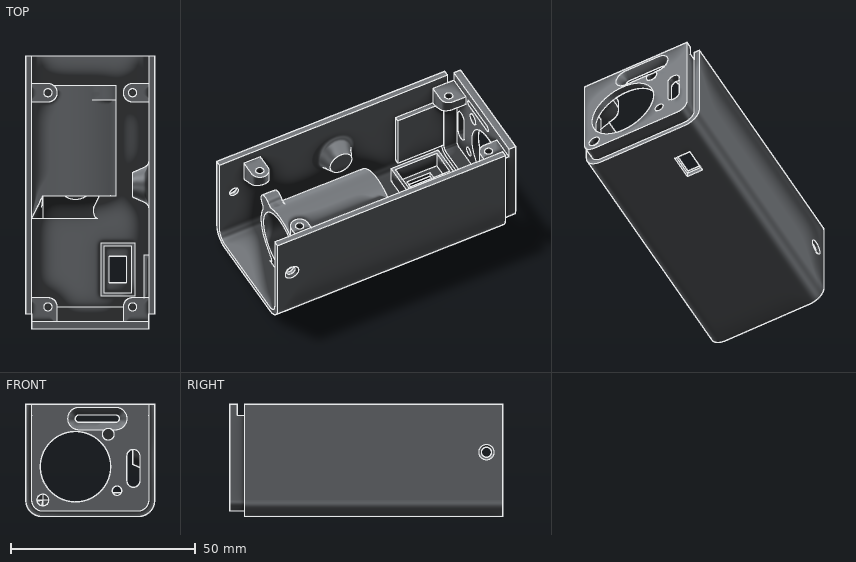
import cadquery as cq
import math

WIDTH = 35.0
LENGTH = 74.0
HEIGHT = 30.5
WALL = 1.6
FLOOR = 1.5
INNER_RADIUS = 3.0
OUTER_RADIUS = FLOOR + INNER_RADIUS
SHELL_FRONT = 4.0

INNER_X = WIDTH / 2 - WALL
FLOOR_Z = FLOOR - HEIGHT
CORNER_X = INNER_X - INNER_RADIUS
CORNER_Z = FLOOR_Z + INNER_RADIUS

PLATE = 2.1
RIM_BACK = 6.0
RIM = 1.8
RIM_TOP = -3.0

LENS_X = -4.0
LENS_Z = -16.95
LENS_D = 19.0

TUBE_R = 10.95
TUBE_FRONT = 36.05
TUBE_BACK = 66.0
RAMP_RUN = 2.0
RAMP_LENGTH = RAMP_RUN * INNER_RADIUS
RAMP_FRONT = TUBE_FRONT - RAMP_LENGTH
SUPPORT_FILLET = 1.0
KEY_X = 4.45
KEY_Z = -8.5
KEY_R = 2.5
KEY_LENGTH = 4.0
KEY_FILLET = 2.0

WINDOW_X = 1.9
WINDOW_Z = -3.9
WINDOW_SPAN = 10.0
WINDOW_R = 0.95
WINDOW_TAPER = 45
WINDOW_FLARE_R = WINDOW_R + PLATE * math.tan(math.radians(WINDOW_TAPER))
SIDE_SLOT_X = 11.7
SIDE_SLOT_Z = -17.4
SIDE_SLOT_WIDTH = 3.5
SIDE_SLOT_LENGTH = 10.2
PIN_D = 3.2
PIN_X = 4.9
PIN_Z = -8.15
LED_X = 7.25
LED_Z = -23.45
LED_D = 2.5

POST_X = 11.5
POST_R = 2.5
POST_REAR_Y = 64.0
POST_TIP = 3.0
POST_SLOPE = 0.5
POST_HOLE_D = 2.2

BOX_X = 7.5
BOX_Y = 16.1
BOX_WIDTH = 9.2
BOX_LENGTH = 14.4
BOX_WALL = 0.9
BOX_TOP = -24.0
SWITCH_WIDTH = 4.65
SWITCH_LENGTH = 7.1

PAD = 1.3
PAD_BACK = 20.0
PAD_TOP = -8.9
SIDE_AXIS_Z = -13.0
BOSS_Y = 39.1
BOSS_TIP_X = 11.5
BOSS_TIP_R = 3.3
BOSS_TAPER = 24
BOSS_FILLET = 1.85

SCREW_Y = 69.55
SCREW_D = 2.7
SINK_D = 4.15


def block(x0, x1, y0, y1, z0, z1):
    """Box between two opposite corners."""
    return cq.Workplane("XY").box(x1 - x0, y1 - y0, z1 - z0, centered=False).translate((x0, y0, z0))


def along_y(start):
    """Sketch plane at Y = start whose local axes are X and Z; positive extrusion goes toward -Y."""
    return cq.Workplane("XZ", origin=(0, start, 0))


def rod(x, z, radius, y0, y1):
    """Cylinder parallel to Y."""
    return along_y(y0).center(x, z).circle(radius).extrude(y0 - y1)


def tray(half_width, bottom, radius, y0, y1, top=0.0):
    """Prism along Y with a flat top and rounded lower corners."""
    body = block(-half_width, half_width, y0, y1, bottom, top)
    return body.edges("|Y and <Z").fillet(radius)


def front_plug():
    plate = tray(INNER_X, FLOOR_Z, INNER_RADIUS, 0, PLATE)
    rim = tray(INNER_X, FLOOR_Z, INNER_RADIUS, PLATE, RIM_BACK, RIM_TOP)
    opening = tray(INNER_X - RIM, FLOOR_Z + RIM, INNER_RADIUS - RIM, PLATE, RIM_BACK, 0)
    return plate.union(rim.cut(opening))


def window():
    """Slot whose wide mouth on the front face narrows at 45 degrees."""
    span = WINDOW_SPAN + 2 * WINDOW_FLARE_R
    mouth = along_y(0).center(WINDOW_X, WINDOW_Z).slot2D(span, 2 * WINDOW_FLARE_R)
    return mouth.extrude(-PLATE, taper=WINDOW_TAPER)


def plate_openings():
    side_slot = along_y(0).center(SIDE_SLOT_X, SIDE_SLOT_Z)
    side_slot = side_slot.slot2D(SIDE_SLOT_LENGTH, SIDE_SLOT_WIDTH, 90).extrude(-RIM_BACK)
    cuts = window().union(side_slot)
    cuts = cuts.union(rod(LENS_X, LENS_Z, LENS_D / 2, 0, PLATE))
    cuts = cuts.union(rod(-CORNER_X, CORNER_Z, PIN_D / 2, 0, RIM_BACK))
    cuts = cuts.union(rod(PIN_X, PIN_Z, PIN_D / 2, 0, PLATE))
    return cuts.union(rod(LED_X, LED_Z, LED_D / 2, 0, RIM_BACK))


def tube_support():
    """Block between the tube and the left floor corner, bounded by two 45 degree tangents."""
    half = TUBE_R / math.sqrt(2)
    wall_meet = LENS_Z + half - (LENS_X - half + INNER_X)
    floor_meet = LENS_X + half - (LENS_Z - half - FLOOR_Z)
    reach = SUPPORT_FILLET / math.tan(math.pi / 8)
    shift = reach / math.sqrt(2)
    return (
        along_y(RAMP_FRONT)
        .moveTo(-INNER_X, FLOOR_Z)
        .lineTo(floor_meet + reach, FLOOR_Z)
        .radiusArc((floor_meet + shift, FLOOR_Z + shift), SUPPORT_FILLET)
        .lineTo(LENS_X + half, LENS_Z - half)
        .lineTo(LENS_X - half, LENS_Z + half)
        .lineTo(-INNER_X + shift, wall_meet + shift)
        .radiusArc((-INNER_X, wall_meet + reach), SUPPORT_FILLET)
        .close()
        .extrude(RAMP_FRONT - TUBE_BACK)
    )


def ramp_clearance():
    """Space in front of the ramp: sloped over the floor, off the wall and conical in the corner."""
    over_floor = (
        cq.Workplane("YZ", origin=(-CORNER_X, 0, 0))
        .polyline([(RAMP_FRONT, FLOOR_Z), (TUBE_FRONT, CORNER_Z), (TUBE_FRONT, 0), (RAMP_FRONT, 0)])
        .close()
        .extrude(2 * CORNER_X)
    )
    off_wall = (
        cq.Workplane("XY", origin=(0, 0, CORNER_Z))
        .polyline([(-INNER_X, RAMP_FRONT), (-CORNER_X, TUBE_FRONT), (0, TUBE_FRONT), (0, RAMP_FRONT)])
        .close()
        .extrude(-CORNER_Z)
    )
    corner = cq.Solid.makeCone(
        INNER_RADIUS, 0, RAMP_LENGTH, cq.Vector(-CORNER_X, RAMP_FRONT, CORNER_Z), cq.Vector(0, 1, 0)
    )
    return over_floor.union(off_wall).union(cq.Workplane(corner))


def key():
    """Round key along the top of the tube's rear end, blended into the tube on both sides."""
    start = TUBE_BACK - KEY_LENGTH
    spread_x = KEY_X - LENS_X
    spread_z = KEY_Z - LENS_Z
    distance = math.hypot(spread_x, spread_z)
    to_tube = TUBE_R + KEY_FILLET
    to_key = KEY_R + KEY_FILLET
    along = (distance**2 + to_tube**2 - to_key**2) / (2 * distance)
    aside = math.sqrt(to_tube**2 - along**2)
    centres = [
        (
            LENS_X + (along * spread_x - side * aside * spread_z) / distance,
            LENS_Z + (along * spread_z + side * aside * spread_x) / distance,
        )
        for side in (1, -1)
    ]
    blend = along_y(start).polyline([(LENS_X, LENS_Z), centres[0], (KEY_X, KEY_Z), centres[1]])
    blend = blend.close().extrude(-KEY_LENGTH)
    for x, z in centres:
        blend = blend.cut(rod(x, z, KEY_FILLET, start, TUBE_BACK))
    return blend.union(rod(KEY_X, KEY_Z, KEY_R, start, TUBE_BACK))


def tube():
    body = tube_support().cut(ramp_clearance())
    body = body.union(rod(LENS_X, LENS_Z, TUBE_R, TUBE_FRONT, TUBE_BACK)).union(key())
    return body.cut(rod(LENS_X, LENS_Z, LENS_D / 2, RAMP_FRONT, TUBE_BACK))


def post(y, side, to_plate):
    """Screw post on a side wall (side is -1 or 1), its underside sloping down to the wall.

    With to_plate set, the post runs forward to the front plate.
    """
    tip_x = POST_X - POST_R
    drop = POST_SLOPE * (INNER_X - tip_x)
    back = y + POST_R
    front = PLATE if to_plate else y - POST_R
    profile = (
        along_y(front)
        .polyline([
            (tip_x, RIM_TOP),
            (INNER_X, RIM_TOP),
            (INNER_X, RIM_TOP - POST_TIP - drop),
            (tip_x, RIM_TOP - POST_TIP),
        ])
        .close()
        .extrude(front - back)
    )
    outline = block(POST_X, INNER_X, front, back, -HEIGHT, 0)
    outline = outline.union(cq.Workplane("XY", origin=(POST_X, y, -HEIGHT)).circle(POST_R).extrude(HEIGHT))
    if to_plate:
        outline = outline.union(block(tip_x, INNER_X, PLATE, y, -HEIGHT, 0))
    hole = cq.Workplane("XY", origin=(POST_X, y, RIM_TOP - POST_TIP)).circle(POST_HOLE_D / 2)
    body = profile.intersect(outline).cut(hole.extrude(POST_TIP))
    return body if side > 0 else body.mirror("YZ")


def centred_block(width, length, bottom, top):
    """Block centred on the switch."""
    return block(
        BOX_X - width / 2, BOX_X + width / 2, BOX_Y - length / 2, BOX_Y + length / 2, bottom, top
    )


def switch_box():
    outside = centred_block(BOX_WIDTH, BOX_LENGTH, FLOOR_Z, BOX_TOP)
    inside = centred_block(BOX_WIDTH - 2 * BOX_WALL, BOX_LENGTH - 2 * BOX_WALL, FLOOR_Z, BOX_TOP)
    return outside.cut(inside)


def boss():
    """Cone on the right wall with a filleted foot."""
    taper = math.radians(BOSS_TAPER)
    foot_r = BOSS_TIP_R + (INNER_X - BOSS_TIP_X) * math.tan(taper)
    reach = BOSS_FILLET * math.tan(math.pi / 4 - taper / 2)
    return (
        cq.Workplane("XY")
        .moveTo(BOSS_TIP_X, 0)
        .lineTo(BOSS_TIP_X, BOSS_TIP_R)
        .lineTo(INNER_X - reach * math.cos(taper), foot_r - reach * math.sin(taper))
        .tangentArcPoint((INNER_X, foot_r + reach), relative=False)
        .lineTo(INNER_X, 0)
        .close()
        .revolve(360, (0, 0, 0), (1, 0, 0))
        .translate((0, BOSS_Y, SIDE_AXIS_Z))
    )


def side_screw_holes():
    """One hole through both walls, countersunk at 45 degrees on the outside."""
    start = cq.Vector(-WIDTH / 2, SCREW_Y, SIDE_AXIS_Z)
    direction = cq.Vector(1, 0, 0)
    sink_depth = (SINK_D - SCREW_D) / 2
    hole = cq.Workplane(cq.Solid.makeCylinder(SCREW_D / 2, WIDTH, start, direction))
    sink = cq.Workplane(cq.Solid.makeCone(SINK_D / 2, SCREW_D / 2, sink_depth, start, direction))
    return hole.union(sink).union(sink.mirror("YZ"))


shell = tray(WIDTH / 2, -HEIGHT, OUTER_RADIUS, SHELL_FRONT, LENGTH)
result = shell.cut(tray(INNER_X, FLOOR_Z, INNER_RADIUS, SHELL_FRONT, LENGTH))
result = result.union(front_plug()).union(tube())
result = result.union(block(INNER_X - PAD, INNER_X, PLATE, PAD_BACK, CORNER_Z, PAD_TOP))
for wall_side in (-1, 1):
    result = result.union(post(RIM_BACK, wall_side, True))
    result = result.union(post(POST_REAR_Y, wall_side, False))
result = result.union(boss()).union(switch_box())
result = result.cut(plate_openings()).cut(side_screw_holes())
result = result.cut(centred_block(SWITCH_WIDTH, SWITCH_LENGTH, -HEIGHT, FLOOR_Z))